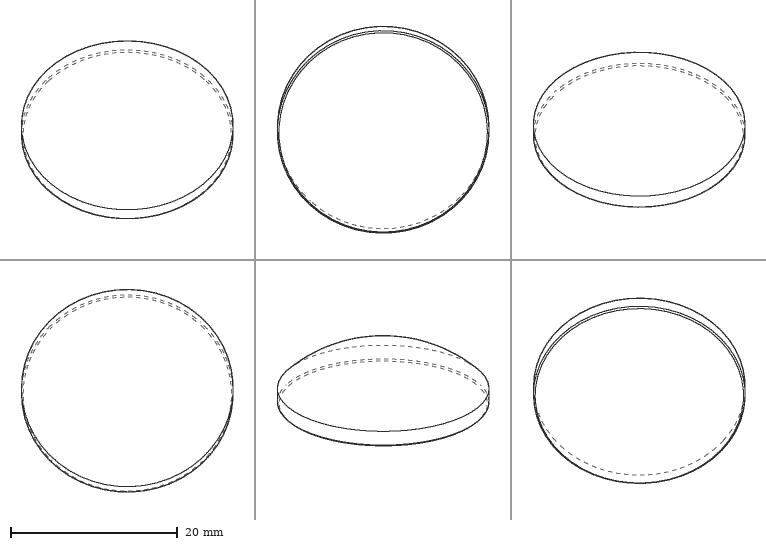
import cadquery as cq
import math

diameter = 25.4
center_thickness = 7.23
rim_height = 2.0
bevel = 0.2

radius = diameter / 2
dome_edge_radius = radius - bevel
dome_edge_height = rim_height + bevel

dome_sag = center_thickness - dome_edge_height
dome_radius = (dome_edge_radius**2 + dome_sag**2) / (2 * dome_sag)


def dome_height(distance):
    """Height of the convex surface at a distance from the optical axis."""
    return center_thickness - dome_radius + math.sqrt(dome_radius**2 - distance**2)


def half_profile():
    """Half section of the lens in the YZ plane, from the axis out to the rim."""
    mid_radius = dome_edge_radius / 2
    return (
        cq.Workplane("YZ")
        .moveTo(0, 0)
        .lineTo(dome_edge_radius, 0)
        .lineTo(radius, bevel)
        .lineTo(radius, rim_height)
        .lineTo(dome_edge_radius, dome_edge_height)
        .threePointArc((mid_radius, dome_height(mid_radius)), (0, center_thickness))
        .close()
    )


result = half_profile().revolve(360, (0, 0, 0), (0, 1, 0))